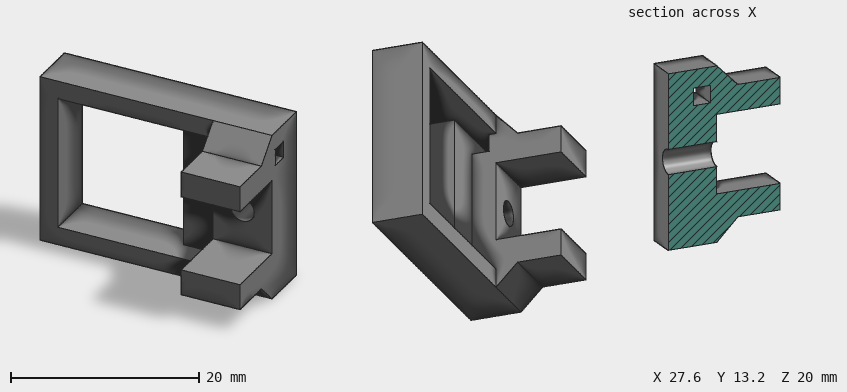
import cadquery as cq

length = 27.65
depth = 13.2
height = 20.0
frame_depth = 5.72
wall = 2.13

window_end = 15.7
ledge_end = 20.63
ledge_setback = 2.75

channel_setback = 0.77
channel_height = 1.94

arm_drop = 2.5
arm_thickness = 3.05
hole_diameter = 2.8

frame_front = depth - frame_depth
opening_height = height - 2 * wall
arm_width = length - ledge_end


def box(x_start, x_end, y_start, y_end, z_start, z_size):
    """Axis-aligned block given by its limits in X and Y and its base and size in Z."""
    return cq.Workplane("XY").box(
        x_end - x_start, y_end - y_start, z_size, centered=False
    ).translate((x_start, y_start, z_start))


def lower_arm():
    """Arm with a 45 degree gusset running down to the bottom edge of the frame."""
    arm_top = arm_drop + arm_thickness
    return (
        cq.Workplane("YZ", origin=(ledge_end, 0, 0))
        .moveTo(0, arm_drop)
        .lineTo(frame_front - arm_drop, arm_drop)
        .lineTo(frame_front, 0)
        .lineTo(frame_front, arm_top)
        .lineTo(0, arm_top)
        .close()
        .extrude(arm_width)
    )


frame = box(0, length, frame_front, depth, 0, height)
window = box(wall, window_end, frame_front, depth, wall, opening_height)
ledge_pocket = box(window_end, ledge_end, frame_front, frame_front + ledge_setback, wall, opening_height)
frame = frame.cut(window).cut(ledge_pocket)

channel = box(
    ledge_end,
    length,
    frame_front + channel_setback,
    frame_front + ledge_setback,
    height - wall - channel_height,
    channel_height,
)
frame = frame.cut(channel)

arm = lower_arm()
upper_arm = arm.mirror("XY", (0, 0, height / 2))

hole = (
    cq.Workplane("XZ", origin=((ledge_end + length) / 2, depth, height / 2))
    .circle(hole_diameter / 2)
    .extrude(depth)
)

result = frame.union(arm).union(upper_arm).cut(hole)